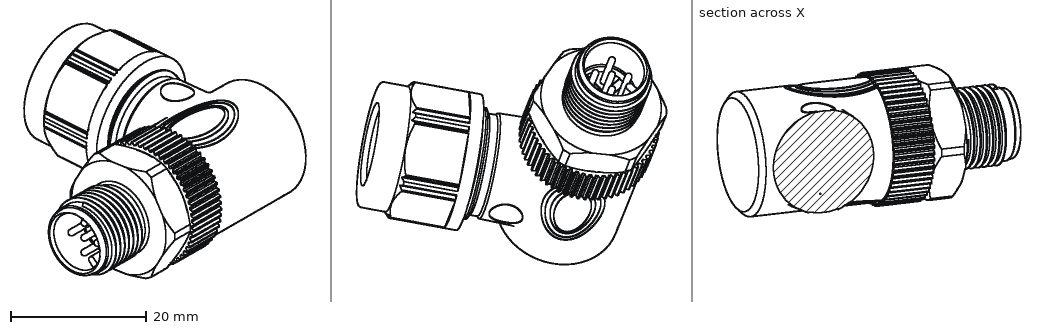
import cadquery as cq
import math


ARM_TILT = 5.0
BODY_R = 9.33
BODY_BACK_Y = 9.55
BODY_BACK_BEVEL = 0.85
ARM_R = 7.95
ARM_ROOT_R = 8.3
ARM_DISC_AT = 8.9
ARM_DISC_R = 2.5
ARM_DISC_DEPTH = 0.1
ARM_SHOULDER = 12.2
ARM_SHOULDER_LENGTH = 0.35
NECK_R = 7.65
NECK_RIB_R = 8.4
NECK_RIB_START = 13.75
NECK_RIB_CREST_START = 14.2
NECK_RIB_CREST_END = 14.5
NECK_RIB_END = 14.8
ARM_BLEND_R = 0.8

LABEL_Y = -6.33
LABEL_OUTER = (8.0, 4.55)
LABEL_INNER = (6.3, 3.2)
LABEL_EDGE = 0.6
LABEL_DEPTH = 0.2

FLANGE_R = 10.25
FLANGE_START = 15.25
FLANGE_END = 17.25
NUT_FLAT_R = 9.5
NUT_FRONT_R = 9.45
NUT_BEVEL_START = 25.4
NUT_BEVEL_END = 26.15
NUT_END = 30.22
NUT_FRONT_ROUND = 0.45
GROOVE_ANGLE = 4.1
GROOVE_HALF = 0.43
GROOVE_DEPTH = 0.45
CABLE_MOUTH_R = 6.25
CABLE_FLOOR_R = 5.8
CABLE_DEPTH = 0.8

RING_BACK_Y = -11.47
HEX_BACK_Y = -17.87
HEX_FRONT_Y = -23.3
KNURL_COUNT = 60
KNURL_TIP_R = 9.95
KNURL_ROOT_R = 9.5
KNURL_TIP_SHARE = 0.2
KNURL_ROOT_SHARE = 0.3
HEX_FLAT_R = 9.0
HEX_CORNER_R = 10.07
HEX_BACK_R = 8.8
HEX_FRONT_R = 9.1
HEX_BACK_BEVEL = 1.0
HEX_FRONT_BEVEL = 0.85

TIP_Y = -33.45
STEM_R = 5.5
COLLAR_R = 5.85
COLLAR_LENGTH = 0.5
STEM_END_Y = -32.3
TIP_R = 5.3
TIP_STEP = 0.2
TIP_ROUND = 0.4
THREAD_R = 6.03
THREAD_PITCH = 1.0
THREAD_START_Y = -24.62
THREAD_TURNS = 6.75
THREAD_BASE_HALF = 0.38
THREAD_CREST_HALF = 0.06
THREAD_SINK = 0.1
RIM_R = 4.85
BORE_R = 4.55
RIM_BEVEL = 0.6
BORE_DEPTH = 7.0
INSERT_R = 4.2
INSERT_DEPTH = 8.5

PIN_R = 0.5
PIN_CIRCLE_R = 2.5
PIN_TIP_GAP = 1.8
PIN_ROUND = 0.35
CROSS_WIDTH = 1.2
CROSS_DEPTH = 0.2
CENTRE_BOSS_R = 1.0
KEY_R = 0.6
KEY_CIRCLE_R = 3.5
KEY_GAP = 1.0

HEX_SIDES = 6
OVERLAP = 0.5


def turned_along_arm(profile):
    """Revolve (distance along arm, radius) points about the arm axis."""
    points = [(-distance, radius) for distance, radius in profile]
    return cq.Workplane("XY").polyline(points).close().revolve(360, (0, 0, 0), (1, 0, 0))


def turned_along_plug(profile):
    """Revolve (radius, y) points about the plug axis."""
    return cq.Workplane("XY").polyline(profile).close().revolve(360, (0, 0, 0), (0, 1, 0))


def plug_plane(y):
    """Workplane seen from the mating end: local x is X, local y is Z, extrusion goes to -Y."""
    return cq.Workplane("XZ", origin=(0, y, 0))


def arm_plane(distance):
    """Workplane across the arm: local x is Y, local y is Z, extrusion goes back to the plug axis."""
    return cq.Workplane("YZ", origin=(-distance, 0, 0))


def make_housing():
    front_y = RING_BACK_Y - OVERLAP
    barrel = plug_plane(BODY_BACK_Y).circle(BODY_R).extrude(BODY_BACK_Y - front_y)
    arm = turned_along_arm([
        (0, 0),
        (0, ARM_ROOT_R),
        (ARM_SHOULDER, ARM_R),
        (ARM_SHOULDER + ARM_SHOULDER_LENGTH, NECK_R),
        (NECK_RIB_START, NECK_R),
        (NECK_RIB_CREST_START, NECK_RIB_R),
        (NECK_RIB_CREST_END, NECK_RIB_R),
        (NECK_RIB_END, NECK_R),
        (FLANGE_START + OVERLAP, NECK_R),
        (FLANGE_START + OVERLAP, 0),
    ])
    barrel = barrel.faces(">Y").edges().chamfer(BODY_BACK_BEVEL)
    housing = barrel.union(arm)
    seam = cq.selectors.BoxSelector((-BODY_R, -ARM_ROOT_R, -ARM_ROOT_R), (0, ARM_ROOT_R, ARM_ROOT_R))
    return housing.edges(seam).fillet(ARM_BLEND_R)


def arm_discs():
    """Round shallow cuts on both sides of the arm that follow its curvature."""
    posts = cq.Workplane("XY").center(-ARM_DISC_AT, 0).circle(ARM_DISC_R).extrude(ARM_R + OVERLAP, both=True)
    taper = (ARM_ROOT_R - ARM_R) / ARM_SHOULDER
    radius = ARM_ROOT_R - taper * ARM_DISC_AT - ARM_DISC_DEPTH
    reach = ARM_DISC_R * taper
    core = turned_along_arm([
        (ARM_DISC_AT - ARM_DISC_R, 0),
        (ARM_DISC_AT - ARM_DISC_R, radius + reach),
        (ARM_DISC_AT + ARM_DISC_R, radius - reach),
        (ARM_DISC_AT + ARM_DISC_R, 0),
    ])
    return posts.cut(core)


def label_ring(inset, depth):
    """Oval ring on +Z and -Z, reaching the given depth below the barrel surface."""
    outer = (LABEL_OUTER[0] - inset, LABEL_OUTER[1] - inset)
    inner = (LABEL_INNER[0] + inset - LABEL_EDGE, LABEL_INNER[1] + inset - LABEL_EDGE)
    plane = cq.Workplane("XY", origin=(0, LABEL_Y, 0)).transformed(rotate=(0, 0, 90))
    reach = BODY_R + OVERLAP
    ring = plane.ellipse(*outer).extrude(reach, both=True)
    ring = ring.cut(plane.ellipse(*inner).extrude(reach, both=True))
    floor = plug_plane(BODY_BACK_Y).circle(BODY_R - depth).extrude(BODY_BACK_Y - HEX_FRONT_Y)
    return ring.cut(floor)


def make_gland_nut():
    shell = turned_along_arm([
        (FLANGE_START, 0),
        (FLANGE_START, FLANGE_R),
        (NUT_BEVEL_START, FLANGE_R),
        (NUT_BEVEL_END, NUT_FRONT_R),
        (NUT_END, NUT_FRONT_R),
        (NUT_END, 0),
    ])
    shell = shell.faces("<X").edges().fillet(NUT_FRONT_ROUND)

    hex_length = NUT_BEVEL_END - FLANGE_END
    corner_diameter = 2 * NUT_FLAT_R / math.cos(math.pi / HEX_SIDES)
    outside = arm_plane(NUT_BEVEL_END).circle(corner_diameter).polygon(HEX_SIDES, corner_diameter)
    outside = outside.extrude(hex_length)
    nut = shell.cut(outside)

    groove = (
        arm_plane(NUT_BEVEL_END)
        .polyline([
            (FLANGE_R - GROOVE_DEPTH, 0),
            (FLANGE_R, GROOVE_HALF),
            (FLANGE_R + OVERLAP, GROOVE_HALF),
            (FLANGE_R + OVERLAP, -GROOVE_HALF),
            (FLANGE_R, -GROOVE_HALF),
        ])
        .close()
        .extrude(hex_length)
    )
    for corner in range(HEX_SIDES):
        for side in (-1, 1):
            angle = corner * 360 / HEX_SIDES + side * GROOVE_ANGLE
            nut = nut.cut(groove.rotate((0, 0, 0), (1, 0, 0), angle))

    mouth = turned_along_arm([
        (NUT_END, 0),
        (NUT_END, CABLE_MOUTH_R),
        (NUT_END - CABLE_DEPTH, CABLE_FLOOR_R),
        (NUT_END - CABLE_DEPTH, 0),
    ])
    return nut.cut(mouth)


def make_knurled_ring():
    pitch = 2 * math.pi / KNURL_COUNT
    half_tip = KNURL_TIP_SHARE * pitch / 2
    half_root = KNURL_ROOT_SHARE * pitch / 2
    points = []
    for tooth in range(KNURL_COUNT):
        tip_angle = tooth * pitch
        root_angle = tip_angle + pitch / 2
        for radius, angle in (
            (KNURL_TIP_R, tip_angle - half_tip),
            (KNURL_TIP_R, tip_angle + half_tip),
            (KNURL_ROOT_R, root_angle - half_root),
            (KNURL_ROOT_R, root_angle + half_root),
        ):
            points.append((radius * math.cos(angle), radius * math.sin(angle)))
    return plug_plane(RING_BACK_Y).polyline(points).close().extrude(RING_BACK_Y - HEX_BACK_Y)


def make_coupling_hex():
    back_y = HEX_BACK_Y + OVERLAP
    corner_diameter = 2 * HEX_FLAT_R / math.cos(math.pi / HEX_SIDES)
    prism = plug_plane(back_y).polygon(HEX_SIDES, corner_diameter).extrude(back_y - HEX_FRONT_Y)
    envelope = turned_along_plug([
        (0, back_y),
        (HEX_BACK_R, back_y),
        (HEX_BACK_R, HEX_BACK_Y),
        (HEX_CORNER_R, HEX_BACK_Y - HEX_BACK_BEVEL),
        (HEX_CORNER_R, HEX_FRONT_Y + HEX_FRONT_BEVEL),
        (HEX_FRONT_R, HEX_FRONT_Y),
        (0, HEX_FRONT_Y),
    ])
    return prism.intersect(envelope)


def make_thread():
    """Right-hand ridge that starts on the -X side of the stem and runs toward the mating end."""
    root = STEM_R - THREAD_SINK
    helix = cq.Wire.makeHelix(THREAD_PITCH, THREAD_PITCH * THREAD_TURNS, root)
    ridge = (
        cq.Workplane("XZ")
        .polyline([
            (root, -THREAD_BASE_HALF),
            (THREAD_R, -THREAD_CREST_HALF),
            (THREAD_R, THREAD_CREST_HALF),
            (root, THREAD_BASE_HALF),
        ])
        .close()
        .sweep(cq.Workplane(obj=helix), isFrenet=True)
    )
    ridge = ridge.rotate((0, 0, 0), (0, 0, 1), 180)
    ridge = ridge.rotate((0, 0, 0), (1, 0, 0), 90)
    return ridge.translate((0, THREAD_START_Y, 0))


def make_stem():
    stem = turned_along_plug([
        (0, HEX_FRONT_Y + OVERLAP),
        (COLLAR_R, HEX_FRONT_Y + OVERLAP),
        (COLLAR_R, HEX_FRONT_Y),
        (STEM_R, HEX_FRONT_Y - COLLAR_LENGTH),
        (STEM_R, STEM_END_Y),
        (TIP_R, STEM_END_Y - TIP_STEP),
        (TIP_R, TIP_Y),
        (0, TIP_Y),
    ])
    return stem.faces("<Y").edges().fillet(TIP_ROUND)


def make_socket():
    """Hollow of the mating end, down to the face of the contact insert."""
    return turned_along_plug([
        (0, TIP_Y),
        (RIM_R, TIP_Y),
        (BORE_R, TIP_Y + RIM_BEVEL),
        (BORE_R, TIP_Y + BORE_DEPTH),
        (INSERT_R, TIP_Y + BORE_DEPTH),
        (INSERT_R, TIP_Y + INSERT_DEPTH),
        (0, TIP_Y + INSERT_DEPTH),
    ])


def make_insert_cross():
    """Shallow diagonal cross in the insert face, around the centre boss."""
    start_y = TIP_Y + INSERT_DEPTH + CROSS_DEPTH
    cross = cq.Workplane("XZ")
    for angle in (45, 135):
        arm = plug_plane(start_y).rect(2 * INSERT_R, CROSS_WIDTH).extrude(CROSS_DEPTH)
        cross = cross.union(arm.rotate((0, 0, 0), (0, 1, 0), angle))
    limit = plug_plane(start_y).circle(INSERT_R).circle(CENTRE_BOSS_R).extrude(CROSS_DEPTH)
    return cross.intersect(limit)


def make_contacts():
    """Five pins and the coding key, standing on the insert."""
    base_y = TIP_Y + INSERT_DEPTH + OVERLAP
    places = [(0, 0)]
    for quarter in range(4):
        angle = quarter * math.pi / 2
        places.append((PIN_CIRCLE_R * math.cos(angle), PIN_CIRCLE_R * math.sin(angle)))
    pin_length = base_y - (TIP_Y + PIN_TIP_GAP)
    pins = plug_plane(base_y).pushPoints(places).circle(PIN_R).extrude(pin_length)
    pins = pins.faces("<Y").edges().fillet(PIN_ROUND)

    key_offset = KEY_CIRCLE_R / math.sqrt(2)
    key_length = base_y - (TIP_Y + KEY_GAP)
    key = plug_plane(base_y).center(key_offset, -key_offset).circle(KEY_R).extrude(key_length)
    rib_centre = (KEY_CIRCLE_R + INSERT_R + OVERLAP / 2) / 2
    rib_depth = INSERT_R + OVERLAP / 2 - KEY_CIRCLE_R
    rib = plug_plane(base_y).center(rib_centre, 0).rect(rib_depth, 2 * KEY_R).extrude(key_length)
    rib = rib.rotate((0, 0, 0), (0, 1, 0), 45)
    return pins.union(key).union(rib)


housing = make_housing().cut(arm_discs())
housing = housing.cut(label_ring(0, LABEL_DEPTH / 2))
housing = housing.cut(label_ring(LABEL_EDGE, LABEL_DEPTH))
housing = housing.union(make_gland_nut())
housing = housing.rotate((0, 0, 0), (0, 1, 0), ARM_TILT)

plug = make_stem().union(make_thread())
plug = plug.cut(make_socket()).cut(make_insert_cross()).union(make_contacts())

result = housing.union(make_knurled_ring()).union(make_coupling_hex()).union(plug)